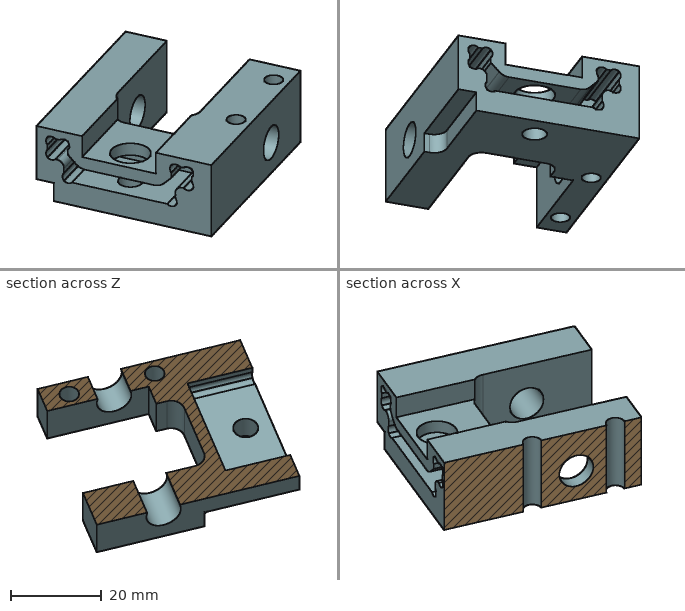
import cadquery as cq

WIDTH = 42.4
LENGTH = 47.0
HEIGHT = 18.0
OVERCUT = 0.45

CENTER_X = 20.0
SLOT_WIDTH = 20.0
SLOT_FRONT_Y = 18.0
SLOT_RADIUS = 3.0
CHANNEL_WIDTH = 17.9
CHANNEL_FLOOR_Z = 12.75
BOLT_Y = 6.0
BOLT_DIAMETER = 5.5
COUNTERBORE_DIAMETER = 9.02

CAVITY_CENTER_X = 20.15
CAVITY_DEPTH = 15.0
CAVITY_FLOOR_Z = 5.75
CAVITY_CEILING_Z = 9.75
HEAD_TOP_Z = 15.8
HEAD_BOTTOM_Z = 10.65
HEAD_OUTER = 17.5
HEAD_INNER = 12.55
NECK_OUTER = 13.5
SLOPE_TOP_Z = 12.55
SHOULDER_RADIUS = 1.7
CEILING_RADIUS = 3.25
RELIEF_RADIUS = 1.35
RELIEF_INSET = 1.0

FLANGE_THICKNESS = 3.0
RIGHT_WALL = 7.0
RECESS_FRONT_Y = 23.5

SIDE_HOLE_Y = 31.5
SIDE_HOLE_Z = 7.7
SIDE_HOLE_DIAMETER = 8.0
FLANGE_HOLE_X = 38.75
FLANGE_HOLE_YS = (21.0, 40.8)
FLANGE_HOLE_DIAMETER = 4.25

NOTCH_DEPTH = 4.2
NOTCH_HEIGHT = 4.55
NOTCH_LENGTH = 22.0
NOTCH_RADIUS = 3.0


def box_between(x_range, y_range, z_range):
    """Axis-aligned box filling the three given ranges."""
    starts, ends = zip(x_range, y_range, z_range)
    sizes = [end - start for start, end in zip(starts, ends)]
    return cq.Workplane("XY").box(*sizes, centered=False).translate(starts)


def vertical_cylinder(x, y, diameter, bottom, top):
    base = cq.Workplane("XY").workplane(offset=bottom).center(x, y)
    return base.circle(diameter / 2).extrude(top - bottom)


def arm_slot():
    """Open-ended slot between the arms, rounded at its front corners."""
    slot = box_between(
        (CENTER_X - SLOT_WIDTH / 2, CENTER_X + SLOT_WIDTH / 2),
        (SLOT_FRONT_Y, LENGTH + OVERCUT),
        (-OVERCUT, HEIGHT + OVERCUT),
    )
    return slot.edges("|Z and <Y").fillet(SLOT_RADIUS)


def top_channel():
    return box_between(
        (CENTER_X - CHANNEL_WIDTH / 2, CENTER_X + CHANNEL_WIDTH / 2),
        (-OVERCUT, SLOT_FRONT_Y + SLOT_RADIUS),
        (CHANNEL_FLOOR_Z, HEIGHT + OVERCUT),
    )


def flange_recess():
    """Space below the flange, widening the slot towards the right wall."""
    return box_between(
        (CENTER_X, WIDTH - RIGHT_WALL),
        (RECESS_FRONT_Y, LENGTH + OVERCUT),
        (-OVERCUT, HEIGHT - FLANGE_THICKNESS),
    )


def left_notch():
    notch = box_between(
        (-OVERCUT, NOTCH_DEPTH),
        (-OVERCUT, NOTCH_LENGTH),
        (-OVERCUT, NOTCH_HEIGHT),
    )
    return notch.edges("|Z and >X and >Y").fillet(NOTCH_RADIUS)


def cavity():
    """Symmetric front cavity with round corner reliefs at each end."""
    slope_end = HEAD_INNER - (SLOPE_TOP_Z - CAVITY_CEILING_Z)
    outline = [
        (0, CAVITY_FLOOR_Z),
        (NECK_OUTER, CAVITY_FLOOR_Z),
        (NECK_OUTER, HEAD_BOTTOM_Z),
        (HEAD_OUTER, HEAD_BOTTOM_Z),
        (HEAD_OUTER, HEAD_TOP_Z),
        (HEAD_INNER, HEAD_TOP_Z),
        (HEAD_INNER, SLOPE_TOP_Z),
        (slope_end, CAVITY_CEILING_Z),
        (0, CAVITY_CEILING_Z),
    ]
    half = cq.Workplane("XZ").polyline(outline).close().extrude(-CAVITY_DEPTH)
    rounded_corners = (
        (NECK_OUTER, HEAD_BOTTOM_Z, SHOULDER_RADIUS),
        (slope_end, CAVITY_CEILING_Z, CEILING_RADIUS),
    )
    for x, z, radius in rounded_corners:
        corner = cq.selectors.NearestToPointSelector((x, CAVITY_DEPTH / 2, z))
        half = half.edges(corner).fillet(radius)

    relief_centers = [
        (HEAD_OUTER - RELIEF_INSET, HEAD_TOP_Z - RELIEF_INSET),
        (HEAD_INNER + RELIEF_INSET, HEAD_TOP_Z - RELIEF_INSET),
        (HEAD_OUTER - RELIEF_INSET, HEAD_BOTTOM_Z + RELIEF_INSET),
        (NECK_OUTER - RELIEF_INSET, CAVITY_FLOOR_Z + RELIEF_INSET),
    ]
    reliefs = cq.Workplane("XZ").pushPoints(relief_centers)
    half = half.union(reliefs.circle(RELIEF_RADIUS).extrude(-CAVITY_DEPTH))
    return half.union(half.mirror("YZ")).translate((CAVITY_CENTER_X, 0, 0))


def bolt_hole():
    """Through hole, opened out above the cavity floor."""
    hole = vertical_cylinder(CENTER_X, BOLT_Y, BOLT_DIAMETER, -OVERCUT, HEIGHT)
    counterbore = vertical_cylinder(
        CENTER_X, BOLT_Y, COUNTERBORE_DIAMETER, CAVITY_FLOOR_Z, HEIGHT
    )
    return hole.union(counterbore)


def side_hole():
    """Cross hole through both arms."""
    base = cq.Workplane("YZ").center(SIDE_HOLE_Y, SIDE_HOLE_Z)
    return base.circle(SIDE_HOLE_DIAMETER / 2).extrude(WIDTH)


result = box_between((0, WIDTH), (0, LENGTH), (0, HEIGHT))
for cutter in (
    arm_slot(),
    top_channel(),
    flange_recess(),
    left_notch(),
    cavity(),
    bolt_hole(),
    side_hole(),
):
    result = result.cut(cutter)
for hole_y in FLANGE_HOLE_YS:
    result = result.cut(
        vertical_cylinder(FLANGE_HOLE_X, hole_y, FLANGE_HOLE_DIAMETER, 0, HEIGHT)
    )